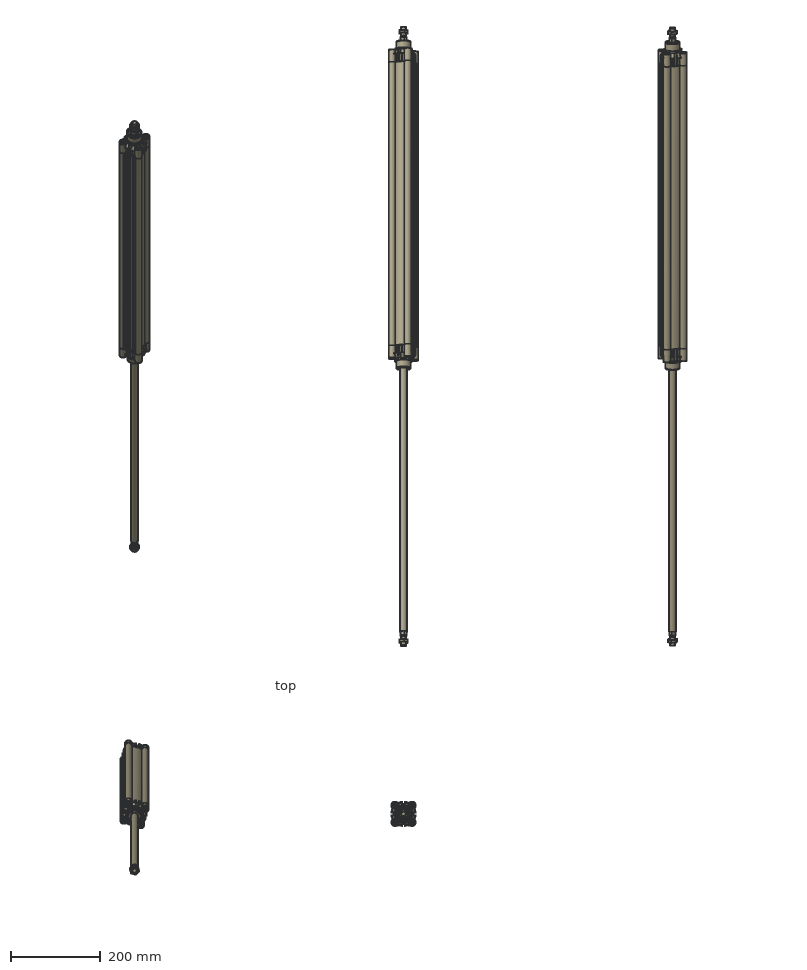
import cadquery as cq
import math


stroke = 600.0
caps_span = 105.0 + stroke
cap_height = 29.0
barrel_length = caps_span - 2 * cap_height
shoulder_reach = 30.0
thread_length = 24.0
shoulder_top = caps_span + shoulder_reach
shoulder_bottom = -(shoulder_reach + stroke)

tie_pitch = 38.0
cap_width = 54.5
cap_column_diameter = cap_width - tie_pitch
barrel_column_diameter = 16.0
bore_diameter = 40.0
tube_diameter = 45.5

slot_offset = 9.5
slot_diameter = 6.2
slot_opening = 4.5
slot_depth = 4.0
rail_width = 13.0
rail_face = 26.2

slope_height = 11.0
slope_base_radius = cap_width / 2
slope_end_radius = 20.0
rib_pair_width = 14.0
side_groove_width = 6.0
side_groove_floor = 20.5

socket_diameter = 10.3
socket_depth = 6.0
screw_thread_diameter = 4.92
screw_thread_depth = 16.0
column_chamfer = 1.0

flange_diameter = 38.0
flange_height = 4.0
collar_diameter = 33.0
collar_height = 21.3
collar_chamfer = 2.0
wiper_diameter = 26.0
wiper_depth = 1.5

rod_diameter = 16.0
rod_end_diameter = 15.5
rod_end_length = 8.7
flats_width = 13.0
thread_diameter = 12.0
thread_chamfer = 1.0
relief_diameter = 10.3
relief_length = 3.5

nut_across_flats = 19.0
nut_height = 6.0
nut_tip_gap = 8.0


def cylinder(diameter, height, base=0.0):
    return cq.Workplane("XY").workplane(offset=base).circle(diameter / 2).extrude(height)


def at_corners(diameter, height, base=0.0):
    """Four cylinders on the tie screw axes."""
    corners = cq.Workplane("XY").workplane(offset=base).rect(tie_pitch, tie_pitch, forConstruction=True)
    return corners.vertices().circle(diameter / 2).extrude(height)


def make_barrel():
    body = cylinder(tube_diameter, barrel_length).union(at_corners(barrel_column_diameter, barrel_length))
    slot_axes = cq.Workplane("XY").pushPoints([(-slot_offset, 0), (slot_offset, 0)])
    rails = slot_axes.rect(rail_width, rail_face).extrude(barrel_length)
    body = body.union(rails.translate((0, -rail_face / 2, 0)))

    slot_bottoms = slot_axes.circle(slot_diameter / 2).extrude(barrel_length)
    slot_mouths = slot_axes.rect(slot_opening, 2 * slot_depth).extrude(barrel_length)
    body = body.cut(slot_bottoms.translate((0, slot_depth - rail_face, 0)))
    body = body.cut(slot_mouths.translate((0, -rail_face, 0)))
    return body.cut(cylinder(bore_diameter, barrel_length)).translate((0, 0, cap_height))


def make_cap():
    """Cap with its inner face at Z = 0 and its bearing collar pointing up."""
    slope_start = cap_height - slope_height
    rib_radius_limit = cylinder(2 * slope_base_radius, slope_start)
    ribs = cq.Workplane("XY").rect(rib_pair_width, cap_width).extrude(slope_start)
    ribs = ribs.union(ribs.rotate((0, 0, 0), (0, 0, 1), 90)).intersect(rib_radius_limit)
    slope = (
        cq.Workplane("XY")
        .workplane(offset=slope_start)
        .circle(slope_base_radius)
        .workplane(offset=slope_height)
        .circle(slope_end_radius)
        .loft()
    )
    body = cylinder(tube_diameter, slope_start).union(ribs).union(slope)

    groove_depth = cap_width / 2 - side_groove_floor
    groove = cq.Workplane("XY").rect(side_groove_width, groove_depth).extrude(cap_height)
    groove = groove.translate((0, side_groove_floor + groove_depth / 2, 0))
    for quarter in range(4):
        body = body.cut(groove.rotate((0, 0, 0), (0, 0, 1), 90 * quarter))

    columns = at_corners(cap_column_diameter, cap_height).faces(">Z").edges().chamfer(column_chamfer)
    body = body.union(columns)
    body = body.cut(at_corners(socket_diameter, socket_depth, cap_height - socket_depth))
    body = body.cut(at_corners(screw_thread_diameter, screw_thread_depth, cap_height - screw_thread_depth))

    collar = cylinder(collar_diameter, collar_height, cap_height).faces(">Z").edges().chamfer(collar_chamfer)
    body = body.union(cylinder(flange_diameter, flange_height, cap_height)).union(collar)
    body = body.cut(cylinder(wiper_diameter, wiper_depth, cap_height + collar_height - wiper_depth))
    return body.cut(cylinder(rod_diameter, cap_height + collar_height))


def make_rod_end():
    """Rod end pointing up, with its shoulder at Z = 0: wrench flats, relief groove and thread."""
    neck = cylinder(rod_end_diameter, rod_end_length, -rod_end_length)
    flats = cq.Workplane("XY").rect(flats_width, rod_diameter).extrude(-rod_end_length)
    relief = cylinder(relief_diameter, relief_length)
    thread = cylinder(thread_diameter, thread_length - relief_length, relief_length)
    thread = thread.faces(">Z").edges().chamfer(thread_chamfer)
    return neck.intersect(flats).union(relief).union(thread)


def make_rod():
    plain_start = shoulder_bottom + rod_end_length
    plain_length = shoulder_top - rod_end_length - plain_start
    rod = cylinder(rod_diameter, plain_length, plain_start)
    rod = rod.union(make_rod_end().translate((0, 0, shoulder_top)))
    return rod.union(make_rod_end().mirror("XY").translate((0, 0, shoulder_bottom)))


def make_nut(base):
    """Hexagon nut with two of its flats facing along X."""
    across_corners = nut_across_flats / math.cos(math.pi / 6)
    hexagon = cq.Workplane("XY").polygon(6, across_corners).circle(thread_diameter / 2).extrude(nut_height)
    return hexagon.rotate((0, 0, 0), (0, 0, 1), 90).translate((0, 0, base))


barrel = make_barrel()
lower_cap = make_cap().mirror("XY").translate((0, 0, cap_height))
upper_cap = make_cap().translate((0, 0, caps_span - cap_height))
rod = make_rod()
lower_nut = make_nut(shoulder_bottom - thread_length + nut_tip_gap)
upper_nut = make_nut(shoulder_top + thread_length - nut_tip_gap - nut_height)

bodies = [barrel, lower_cap, upper_cap, rod, lower_nut, upper_nut]
result = cq.Compound.makeCompound([solid for body in bodies for solid in body.vals()])